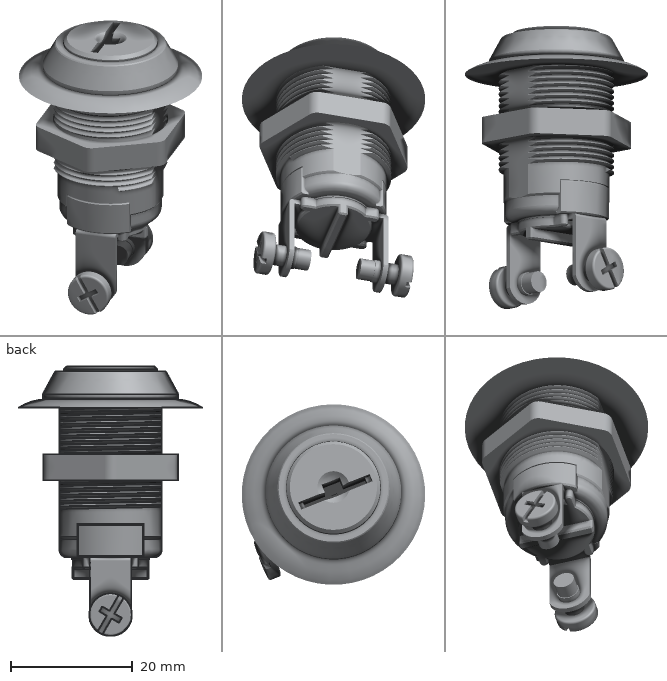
import cadquery as cq
import math


FLANGE_RADIUS = 15.1
FLANGE_MID_RADIUS = 13.4
FLANGE_MID_HEIGHT = 0.85
FLANGE_HEIGHT = 1.37
BEZEL_RADIUS = 11.15
BEZEL_LIP_RADIUS = 10.95
BEZEL_LIP_TOP = 1.55
BEZEL_RIM_TOP = 2.2
BEZEL_TOP_RADIUS = 9.2
BEZEL_TOP = 6.0
BEZEL_HOLLOW = 0.05
BEZEL_EDGE = 0.18
PLUG_BORE_RADIUS = 7.8
PLUG_RADIUS = 7.695
PLUG_TOP = 6.85
PLUG_EDGE = 0.55
PLUG_GAP_DEPTH = 0.45

KEY_SLOT_LEFT = -1.5
KEY_SLOT_RIGHT = -0.2
KEY_SLOT_LENGTH = 12.65
KEY_FLOOR_LENGTH = 11.0
KEY_STEP_DEPTH = 1.77
KEY_SLOT_DEPTH = 4.45
KEY_POCKET_RIGHT = 1.2
KEY_POCKET_LENGTH = 3.25
KEY_PIN_HOLE = 1.05
KEY_PIN_DEPTH = 0.45
DISH_RADIUS = 2.64
DISH_SPHERE_RADIUS = 3.75

CORE_RADIUS = 8.75
CORE_BOTTOM = -21.25
CORE_EDGE = 0.35
CORE_END = CORE_BOTTOM - CORE_EDGE
CORE_TOP = 1.3
FLAT_TO_AXIS = 8.43
THREAD_RADIUS = 9.5
THREAD_FLANK_RADIUS = 8.65
THREAD_BASE_HEIGHT = 0.95
THREAD_TIP_HEIGHT = 0.1
THREAD_LENGTH = 15.52
THREAD_LENGTH_TURNS = 16
THREAD_PITCH = THREAD_LENGTH / THREAD_LENGTH_TURNS
THREAD_TURNS = 17.3
THREAD_START = -16.5
THREAD_START_ANGLE = -65.0
THREAD_ROOT_SINK = 0.55

CAP_RADIUS = 8.43
CAP_BOTTOM = -24.6
CAP_EDGE = 1.35
BLOCK_HALF_WIDTH = 5.3
BLOCK_GAP = 0.15
BLOCK_TOP = -19.05
BLOCK_EDGE = 0.25
BLOCK_SEAT = 5.75
BLOCK_SIDES = ((-FLANGE_RADIUS, -BLOCK_SEAT), (BLOCK_SEAT, FLANGE_RADIUS))
COLLAR_RADIUS = 6.4
COLLAR_HEIGHT = 0.25
BASE_RADIUS = 6.25
BASE_BOTTOM = -26.5
BASE_EDGE = 0.25
BASE_FINGER_OFFSET = 3.85
BASE_FINGER_WIDTH = 1.4
BASE_FINGER_REACH = 6.65
BAR_LENGTH = 12.6
BAR_WIDTH = 1.55
BAR_BOTTOM = -28.2
BAR_EDGE = 0.25

LEG_HALF_WIDTH = 3.4
LEG_OUTER = 8.43
LEG_THICKNESS = 0.85
LEG_BEND_RADIUS = 0.55
LEG_ROUND_START = -35.0
LEG_BOTTOM = -37.3
SCREW_HEIGHT = -34.0
SCREW_HEAD_RADIUS = 3.5
SCREW_HEAD_INNER = 10.65
SCREW_HEAD_OUTER = 12.77
SCREW_HEAD_EDGE = 0.35
SCREW_SHANK_RADIUS = 1.75
SCREW_END = 4.25
SCREW_COLLAR_RADIUS = 1.85
SCREW_COLLAR_END = 6.6
DRIVE_WIDTH = 0.95
DRIVE_DEPTH = 0.9
DRIVE_CROSS_LENGTH = 3.73
DRIVE_ANGLE = 30.0

NUT_ACROSS_FLATS = 22.18
NUT_TOP = -7.65
NUT_BOTTOM = -11.95
NUT_CORNER = 1.85


def disc(radius, bottom, top):
    return cq.Workplane("XY").workplane(offset=bottom).circle(radius).extrude(top - bottom)


def block(x_range, y_range, z_range):
    (x0, x1), (y0, y1), (z0, z1) = x_range, y_range, z_range
    return cq.Workplane("XY").box(x1 - x0, y1 - y0, z1 - z0, centered=False).translate((x0, y0, z0))


def make_head():
    """Domed flange, flared bezel ring and raised key plug."""
    flare_mid = ((BEZEL_RADIUS + BEZEL_TOP_RADIUS) / 2 - BEZEL_HOLLOW, (BEZEL_RIM_TOP + BEZEL_TOP) / 2)
    head = (
        cq.Workplane("XZ")
        .lineTo(FLANGE_RADIUS, 0)
        .threePointArc((FLANGE_MID_RADIUS, FLANGE_MID_HEIGHT), (BEZEL_LIP_RADIUS, FLANGE_HEIGHT))
        .lineTo(BEZEL_RADIUS, BEZEL_LIP_TOP)
        .lineTo(BEZEL_RADIUS, BEZEL_RIM_TOP)
        .threePointArc(flare_mid, (BEZEL_TOP_RADIUS, BEZEL_TOP - BEZEL_EDGE))
        .lineTo(BEZEL_TOP_RADIUS - BEZEL_EDGE, BEZEL_TOP)
        .lineTo(0, BEZEL_TOP)
        .close()
        .revolve()
    )
    gap_floor = BEZEL_TOP - PLUG_GAP_DEPTH
    plug = disc(PLUG_RADIUS, gap_floor, PLUG_TOP).faces(">Z").edges().chamfer(PLUG_EDGE)
    return head.cut(disc(PLUG_BORE_RADIUS, gap_floor, BEZEL_TOP)).union(plug)


def make_keyway():
    """Stepped key slot with a side pocket, a pin hole in its floor and a spherical dish."""
    floor = PLUG_TOP - KEY_SLOT_DEPTH
    slot_x = (KEY_SLOT_LEFT, KEY_SLOT_RIGHT)

    def centred(length):
        return (-length / 2, length / 2)

    step = block(slot_x, centred(KEY_SLOT_LENGTH), (PLUG_TOP - KEY_STEP_DEPTH, PLUG_TOP))
    slot = block(slot_x, centred(KEY_FLOOR_LENGTH), (floor, PLUG_TOP))
    pocket = block((KEY_SLOT_LEFT, KEY_POCKET_RIGHT), centred(KEY_POCKET_LENGTH), (floor, PLUG_TOP))
    pin_hole = block(
        (KEY_SLOT_LEFT, KEY_SLOT_LEFT + KEY_PIN_HOLE), centred(KEY_PIN_HOLE), (floor - KEY_PIN_DEPTH, floor)
    )
    sphere_height = PLUG_TOP + math.sqrt(DISH_SPHERE_RADIUS**2 - DISH_RADIUS**2)
    dish = cq.Workplane("XY").sphere(DISH_SPHERE_RADIUS).translate((0, 0, sphere_height))
    return step.union(slot).union(pocket).union(pin_hole).union(dish)


def make_thread_ridge():
    """Right-handed helical ridge; its root sinks into the core and its top into the flange."""
    root_radius = CORE_RADIUS - THREAD_ROOT_SINK
    helix = cq.Wire.makeHelix(THREAD_PITCH, THREAD_PITCH * THREAD_TURNS, root_radius)
    half_base = THREAD_BASE_HEIGHT / 2
    half_tip = THREAD_TIP_HEIGHT / 2
    ridge = (
        cq.Workplane("XZ")
        .moveTo(root_radius, -half_base)
        .lineTo(THREAD_FLANK_RADIUS, -half_base)
        .lineTo(THREAD_RADIUS, -half_tip)
        .lineTo(THREAD_RADIUS, half_tip)
        .lineTo(THREAD_FLANK_RADIUS, half_base)
        .lineTo(root_radius, half_base)
        .close()
        .sweep(cq.Workplane(helix), isFrenet=True)
    )
    return ridge.rotate((0, 0, 0), (0, 0, 1), THREAD_START_ANGLE).translate((0, 0, THREAD_START))


def trim_to_flats(body):
    """Keep what lies between the two side flats of the barrel."""
    across = (-FLAT_TO_AXIS, FLAT_TO_AXIS)
    return body.intersect(block(across, (-FLANGE_RADIUS, FLANGE_RADIUS), (CORE_END, FLANGE_HEIGHT)))


def make_core():
    """Barrel core with two side flats, slotted front and back for the clamp blocks."""
    core = disc(CORE_RADIUS, CORE_END, CORE_TOP).faces("<Z").edges().chamfer(CORE_EDGE)
    return trim_to_flats(cut_block_slots(core))


def cut_block_slots(body):
    half_width = BLOCK_HALF_WIDTH + BLOCK_GAP
    for y_range in BLOCK_SIDES:
        body = body.cut(block((-half_width, half_width), y_range, (CAP_BOTTOM, BLOCK_TOP)))
    return body


def make_end_cap():
    """Rounded end cap with a clamp block standing in its front and back slots."""
    cap = disc(CAP_RADIUS, CAP_BOTTOM, CORE_END).faces("<Z").edges().fillet(CAP_EDGE)
    cap = cut_block_slots(cap)
    block_disc = disc(CORE_RADIUS, CAP_BOTTOM, BLOCK_TOP).edges().chamfer(BLOCK_EDGE)
    for y_range in BLOCK_SIDES:
        clamp = block((-BLOCK_HALF_WIDTH, BLOCK_HALF_WIDTH), y_range, (CAP_BOTTOM, BLOCK_TOP))
        cap = cap.union(clamp.intersect(block_disc))
    return cap


def make_base():
    """Terminal base with four round-ended fingers and the drive bar across its underside."""
    base_height = CAP_BOTTOM - BASE_BOTTOM
    fingers = (
        cq.Workplane("XY")
        .workplane(offset=BASE_BOTTOM)
        .pushPoints([(-BASE_FINGER_OFFSET, 0), (BASE_FINGER_OFFSET, 0)])
        .slot2D(2 * BASE_FINGER_REACH, BASE_FINGER_WIDTH, 90)
        .extrude(base_height)
    )
    base = disc(BASE_RADIUS, BASE_BOTTOM, CAP_BOTTOM).union(fingers).faces("<Z").edges().chamfer(BASE_EDGE)
    collar = disc(COLLAR_RADIUS, CAP_BOTTOM - COLLAR_HEIGHT, CAP_BOTTOM)
    bar = (
        cq.Workplane("XY")
        .workplane(offset=BAR_BOTTOM)
        .rect(BAR_LENGTH, BAR_WIDTH)
        .extrude(BASE_BOTTOM + BASE_EDGE - BAR_BOTTOM)
        .edges("|Z or <Z")
        .chamfer(BAR_EDGE)
    )
    return base.union(collar).union(bar)


def make_leg():
    """Bent terminal leg with a rounded lower end, on the +Y side."""
    leg_inner = LEG_OUTER - LEG_THICKNESS
    plate = (
        cq.Workplane("XZ", origin=(0, LEG_OUTER, 0))
        .moveTo(-LEG_HALF_WIDTH, CAP_BOTTOM)
        .lineTo(LEG_HALF_WIDTH, CAP_BOTTOM)
        .lineTo(LEG_HALF_WIDTH, LEG_ROUND_START)
        .threePointArc((0, LEG_BOTTOM), (-LEG_HALF_WIDTH, LEG_ROUND_START))
        .close()
        .extrude(LEG_THICKNESS)
    )
    foot = block(
        (-LEG_HALF_WIDTH, LEG_HALF_WIDTH), (0, leg_inner), (CAP_BOTTOM - LEG_THICKNESS, CAP_BOTTOM)
    )
    return plate.union(foot).edges("|X and >Y and >Z").fillet(LEG_BEND_RADIUS)


def make_screw():
    """Terminal screw along Y, on the +Y side, with a full slot crossed by a short one."""

    def rod(radius, start, end):
        return cq.Workplane("XZ", origin=(0, start, SCREW_HEIGHT)).circle(radius).extrude(start - end)

    head = rod(SCREW_HEAD_RADIUS, SCREW_HEAD_INNER, SCREW_HEAD_OUTER).edges().fillet(SCREW_HEAD_EDGE)
    drive = (
        cq.Workplane("XZ", origin=(0, SCREW_HEAD_OUTER, SCREW_HEIGHT))
        .transformed(rotate=(0, 0, DRIVE_ANGLE))
        .rect(DRIVE_WIDTH, 2 * SCREW_HEAD_RADIUS)
        .extrude(DRIVE_DEPTH)
    )
    cross = (
        cq.Workplane("XZ", origin=(0, SCREW_HEAD_OUTER, SCREW_HEIGHT))
        .transformed(rotate=(0, 0, DRIVE_ANGLE))
        .rect(DRIVE_CROSS_LENGTH, DRIVE_WIDTH)
        .extrude(DRIVE_DEPTH)
    )
    shank = rod(SCREW_SHANK_RADIUS, SCREW_END, SCREW_HEAD_INNER)
    collar = rod(SCREW_COLLAR_RADIUS, SCREW_COLLAR_END, LEG_OUTER - LEG_THICKNESS)
    return head.cut(drive).cut(cross).union(shank).union(collar)


def make_lock():
    terminal = make_leg().union(make_screw())
    lower_end = make_end_cap().union(make_base()).union(terminal).union(terminal.mirror("XZ"))
    head = make_head().cut(make_keyway())
    body = head.union(make_core()).union(lower_end)
    return body.union(trim_to_flats(make_thread_ridge()))


def make_nut():
    """Hexagonal nut with rounded corners; its bore clears the crests of the thread."""
    across_corners = NUT_ACROSS_FLATS / math.cos(math.radians(30))
    return (
        cq.Workplane("XY")
        .workplane(offset=NUT_BOTTOM)
        .transformed(rotate=(0, 0, 30))
        .polygon(6, across_corners)
        .extrude(NUT_TOP - NUT_BOTTOM)
        .edges("|Z")
        .fillet(NUT_CORNER)
        .cut(disc(THREAD_RADIUS, NUT_BOTTOM, NUT_TOP))
    )


lock = make_lock()
nut = make_nut()
result = cq.Compound.makeCompound([lock.val(), nut.val()])